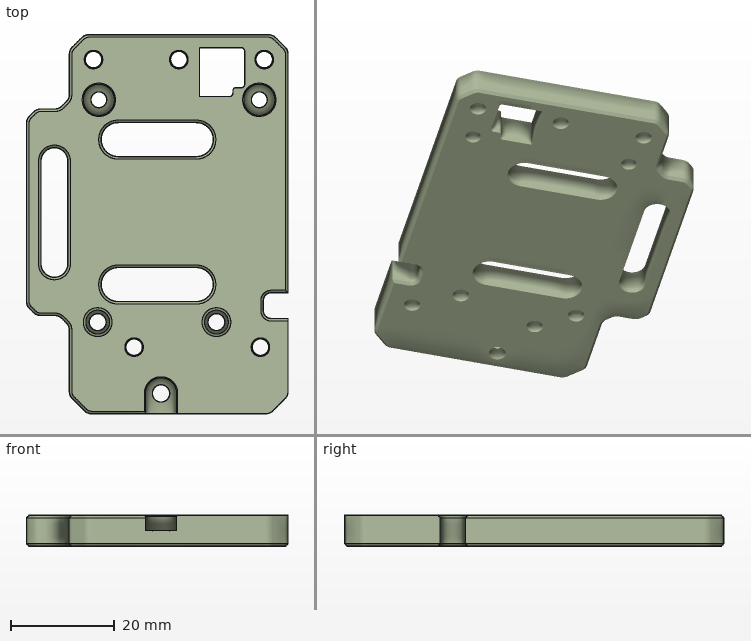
import cadquery as cq

LENGTH_X = 50.6
LENGTH_Y = 73.3
THICKNESS = 6.0

BODY_LEFT = 8.3
TAB_FRONT = 19.0
TAB_BACK = 58.95

FRONT_CUT = 3.5
BACK_CUT = 3.0
TAB_CUT = 2.0
CORNER_RADIUS = 2.0

NOTCH_FRONT = 18.5
NOTCH_BACK = 23.4
NOTCH_DEPTH = 4.8
NOTCH_RADIUS = 1.5

EDGE_CHAMFER = 0.5
HOLE_CHAMFER = 0.2

HOLE_DIAMETER = 3.15
BACK_HOLE_Y = 68.5
FRONT_HOLE_Y = 12.9
HOLE_CENTERS = [
    (13.0, BACK_HOLE_Y),
    (29.5, BACK_HOLE_Y),
    (46.0, BACK_HOLE_Y),
    (20.8, FRONT_HOLE_Y),
    (45.2, FRONT_HOLE_Y),
]

BACK_SCREW_DIAMETER = 3.0
BACK_BORE_DIAMETER = 6.0
BACK_BORE_DEPTH = 3.0
BACK_BORE_CENTERS = [(14.0, 60.7), (45.0, 60.7)]

FRONT_SCREW_DIAMETER = 3.2
FRONT_BORE_DIAMETER = 5.6
FRONT_BORE_DEPTH = 1.7
FRONT_SEAT_DIAMETER = 4.6
FRONT_SEAT_DEPTH = 4.0
FRONT_BORE_CENTERS = [(13.8, 17.75), (36.7, 17.75)]

POCKET_X = 26.0
POCKET_Y = 3.95
POCKET_WIDTH = 6.0
POCKET_DEPTH = 3.0
POCKET_HOLE_DIAMETER = 3.3

WIDE_SLOT_LENGTH = 21.6
WIDE_SLOT_WIDTH = 6.5
WIDE_SLOT_X = 25.3
WIDE_SLOT_YS = (25.0, 53.0)
TAB_SLOT_LENGTH = 25.0
TAB_SLOT_WIDTH = 5.1
TAB_SLOT_CENTER = (5.4, 38.9)

WINDOW_LEFT = 33.5
WINDOW_RIGHT = 42.15
WINDOW_FRONT = 61.35
WINDOW_BACK = 70.75
STEP_X = 39.9
STEP_Y = 63.05
WINDOW_RADIUS = 0.6

MARGIN = 0.1


def plate_outline():
    """Corner points of the outline before its corners are blended."""
    return [
        (BODY_LEFT + FRONT_CUT, 0),
        (LENGTH_X - FRONT_CUT, 0),
        (LENGTH_X, FRONT_CUT),
        (LENGTH_X, LENGTH_Y - BACK_CUT),
        (LENGTH_X - BACK_CUT, LENGTH_Y),
        (BODY_LEFT + BACK_CUT, LENGTH_Y),
        (BODY_LEFT, LENGTH_Y - BACK_CUT),
        (BODY_LEFT, TAB_BACK + TAB_CUT),
        (BODY_LEFT - TAB_CUT, TAB_BACK),
        (TAB_CUT, TAB_BACK),
        (0, TAB_BACK - TAB_CUT),
        (0, TAB_FRONT + TAB_CUT),
        (TAB_CUT, TAB_FRONT),
        (BODY_LEFT - TAB_CUT, TAB_FRONT),
        (BODY_LEFT, TAB_FRONT - TAB_CUT),
        (BODY_LEFT, FRONT_CUT),
    ]


def notch_cutter():
    """Block that opens the +X edge, with rounded inner corners."""
    return (
        cq.Workplane("XY")
        .moveTo(LENGTH_X - NOTCH_DEPTH, NOTCH_FRONT)
        .rect(2 * NOTCH_DEPTH, NOTCH_BACK - NOTCH_FRONT, centered=False)
        .extrude(THICKNESS)
        .edges("|Z and <X")
        .fillet(NOTCH_RADIUS)
    )


def pocket_cutter():
    """Round-ended pocket that runs out through the front edge."""
    floor = cq.Workplane("XY").workplane(offset=THICKNESS - POCKET_DEPTH)
    end = floor.center(POCKET_X, POCKET_Y).circle(POCKET_WIDTH / 2).extrude(POCKET_DEPTH)
    channel = (
        floor.center(POCKET_X, 0)
        .rect(POCKET_WIDTH, 2 * POCKET_Y)
        .extrude(POCKET_DEPTH)
    )
    return end.union(channel)


def plate():
    """Blended plate with its notch and pocket cut and its outer edges broken."""
    body = cq.Workplane("XY").polyline(plate_outline()).close().extrude(THICKNESS)
    body = body.edges("|Z").fillet(CORNER_RADIUS)
    body = body.cut(notch_cutter())
    body = body.faces("<Z").chamfer(EDGE_CHAMFER)
    body = body.cut(pocket_cutter())

    pocket_right = POCKET_X + POCKET_WIDTH / 2
    sharp_edges = cq.selectors.BoxSelector(
        (pocket_right + MARGIN, -MARGIN, 0),
        (LENGTH_X + MARGIN, NOTCH_FRONT - MARGIN, THICKNESS + MARGIN),
    )
    pocket_edges = cq.selectors.BoxSelector(
        (POCKET_X - POCKET_WIDTH / 2 - MARGIN, MARGIN, THICKNESS - MARGIN),
        (pocket_right + MARGIN, POCKET_Y + POCKET_WIDTH, THICKNESS + MARGIN),
    )
    all_edges = cq.selectors.Selector()
    body = body.faces(">Z").edges(all_edges - sharp_edges - pocket_edges).chamfer(EDGE_CHAMFER)
    return body.edges(pocket_edges).chamfer(HOLE_CHAMFER)


def hole(center, diameter, depth=THICKNESS):
    """Round cutter sunk from the top face."""
    return (
        cq.Workplane("XY")
        .workplane(offset=THICKNESS - depth)
        .center(*center)
        .circle(diameter / 2)
        .extrude(depth)
    )


def chamfered_hole(center, diameter, depth=THICKNESS):
    """Round cutter whose rim is flared to break the top edge."""
    rim = (
        cq.Workplane("XY")
        .workplane(offset=THICKNESS)
        .center(*center)
        .circle(diameter / 2 + HOLE_CHAMFER)
        .extrude(-HOLE_CHAMFER, taper=45)
    )
    return hole(center, diameter, depth).union(rim)


def slot(center, length, width, angle=0):
    """Round-ended through slot whose rim is flared to break the top edge."""
    bore = cq.Workplane("XY").center(*center).slot2D(length, width, angle).extrude(THICKNESS)
    rim = (
        cq.Workplane("XY")
        .workplane(offset=THICKNESS)
        .center(*center)
        .slot2D(length + 2 * EDGE_CHAMFER, width + 2 * EDGE_CHAMFER, angle)
        .extrude(-EDGE_CHAMFER, taper=45)
    )
    return bore.union(rim)


def window_cutter():
    """Through window; all but its left corners are slightly rounded."""
    outline = [
        (WINDOW_LEFT, WINDOW_FRONT),
        (STEP_X, WINDOW_FRONT),
        (STEP_X, STEP_Y),
        (WINDOW_RIGHT, STEP_Y),
        (WINDOW_RIGHT, WINDOW_BACK),
        (WINDOW_LEFT, WINDOW_BACK),
    ]
    window = cq.Workplane("XY").polyline(outline).close().extrude(THICKNESS)
    return window.edges("|Z and (not <X)").fillet(WINDOW_RADIUS)


result = plate().cut(window_cutter())

for center in HOLE_CENTERS:
    result = result.cut(chamfered_hole(center, HOLE_DIAMETER))

for center in BACK_BORE_CENTERS:
    result = result.cut(chamfered_hole(center, BACK_BORE_DIAMETER, BACK_BORE_DEPTH))
    result = result.cut(hole(center, BACK_SCREW_DIAMETER))

for center in FRONT_BORE_CENTERS:
    result = result.cut(hole(center, FRONT_BORE_DIAMETER, FRONT_BORE_DEPTH))
    result = result.cut(hole(center, FRONT_SEAT_DIAMETER, FRONT_SEAT_DEPTH))
    result = result.cut(hole(center, FRONT_SCREW_DIAMETER))

result = result.cut(hole((POCKET_X, POCKET_Y), POCKET_HOLE_DIAMETER))

for slot_y in WIDE_SLOT_YS:
    result = result.cut(slot((WIDE_SLOT_X, slot_y), WIDE_SLOT_LENGTH, WIDE_SLOT_WIDTH))
result = result.cut(slot(TAB_SLOT_CENTER, TAB_SLOT_LENGTH, TAB_SLOT_WIDTH, angle=90))